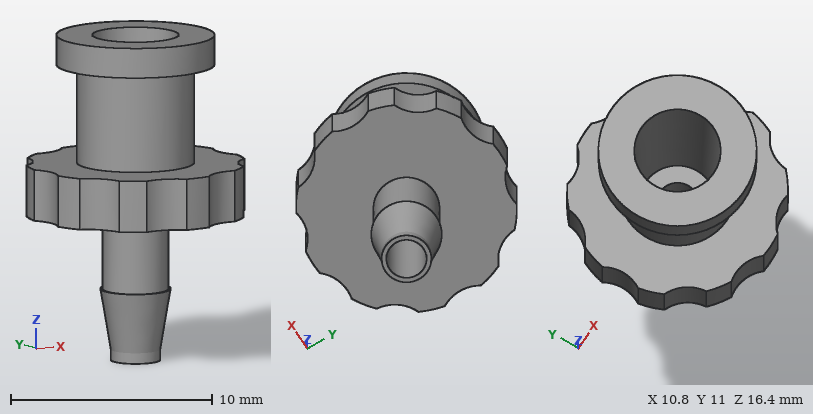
import cadquery as cq

total_height = 16.4
flange_thickness = 1.5
grip_bottom = 7.4
grip_thickness = 2.57
barb_shoulder = 3.59
tip_height = 0.54

flange_diameter = 7.87
hub_diameter = 5.85
grip_diameter = 10.99
shank_diameter = 3.3
barb_diameter = 3.51
tip_diameter = 2.48

bore_diameter = 2.0
socket_mouth_diameter = 4.3
socket_floor_diameter = 3.79
socket_taper = 0.06
socket_depth = (socket_mouth_diameter - socket_floor_diameter) / socket_taper

scallop_count = 10
scallop_radius = 2.0
scallop_root_radius = 5.1
scallop_center_radius = scallop_root_radius + scallop_radius


def make_body():
    """Revolve the flange, hub, shank and barb about Z."""
    flange_bottom = total_height - flange_thickness
    return (
        cq.Workplane("XZ")
        .moveTo(0, 0)
        .lineTo(tip_diameter / 2, 0)
        .lineTo(tip_diameter / 2, tip_height)
        .lineTo(barb_diameter / 2, barb_shoulder)
        .lineTo(shank_diameter / 2, barb_shoulder)
        .lineTo(shank_diameter / 2, grip_bottom)
        .lineTo(hub_diameter / 2, grip_bottom)
        .lineTo(hub_diameter / 2, flange_bottom)
        .lineTo(flange_diameter / 2, flange_bottom)
        .lineTo(flange_diameter / 2, total_height)
        .lineTo(0, total_height)
        .close()
        .revolve(360, (0, 0), (0, 1))
    )


def make_grip():
    """Disc with evenly spaced round scallops, the first one on +X."""
    base = cq.Workplane("XY").workplane(offset=grip_bottom)
    disc = base.circle(grip_diameter / 2).extrude(grip_thickness)
    scallops = (
        base.polarArray(scallop_center_radius, 0, 360, scallop_count)
        .circle(scallop_radius)
        .extrude(grip_thickness)
    )
    return disc.cut(scallops)


def make_passage():
    """Tapered socket opening at the top, joined to the straight bore."""
    socket_floor = total_height - socket_depth
    return (
        cq.Workplane("XZ")
        .moveTo(0, 0)
        .lineTo(bore_diameter / 2, 0)
        .lineTo(bore_diameter / 2, socket_floor)
        .lineTo(socket_floor_diameter / 2, socket_floor)
        .lineTo(socket_mouth_diameter / 2, total_height)
        .lineTo(0, total_height)
        .close()
        .revolve(360, (0, 0), (0, 1))
    )


result = make_body().union(make_grip()).cut(make_passage())